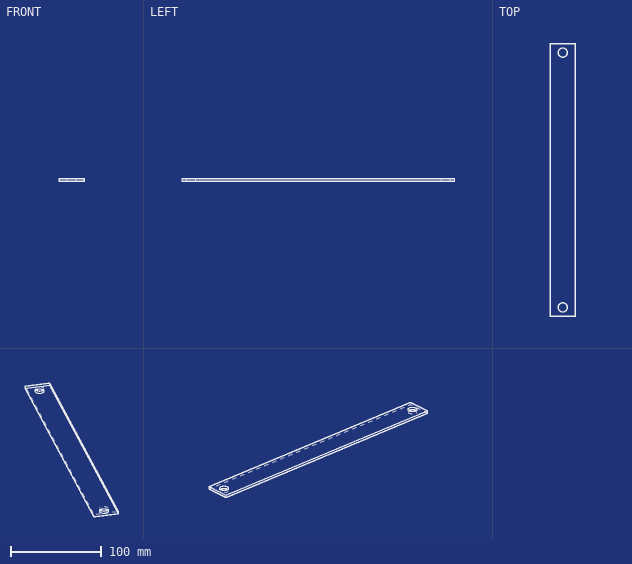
import cadquery as cq

length = 300.0
width = 28.0
thickness = 3.0

hole_diameter = 10.0
hole_end_distance = 10.0
hole_spacing = length - 2 * hole_end_distance

bar = cq.Workplane("XY").box(width, length, thickness)

result = (
    bar.faces(">Z")
    .workplane()
    .pushPoints([(0, -hole_spacing / 2), (0, hole_spacing / 2)])
    .hole(hole_diameter)
)